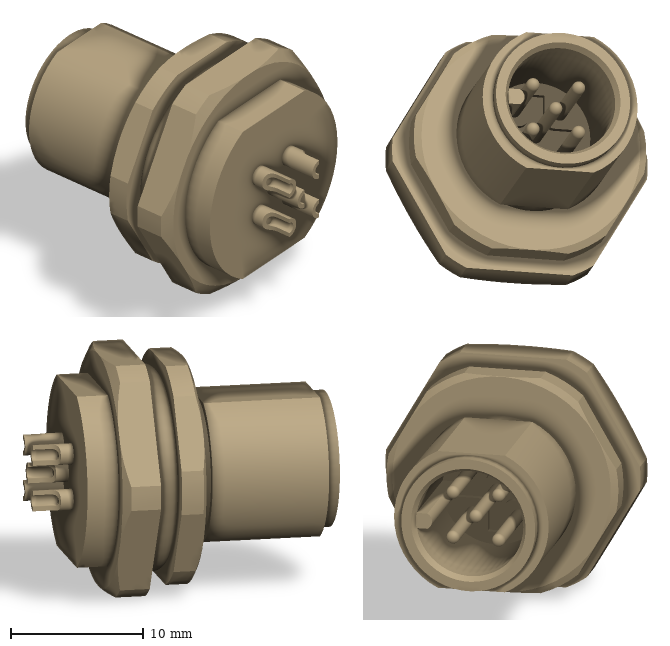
import cadquery as cq
import math


NOSE_END = 1.0
THREAD_END = 10.0
NUT_START = 11.0
NUT_END = 13.0
FLANGE_START = 14.8
FLANGE_END = 17.6
REAR_END = 20.0
CUP_END = 23.0

NOSE_DIAMETER = 10.4
THREAD_DIAMETER = 12.0
THREAD_ACROSS_FLATS = 10.8
RELIEF_DIAMETER = THREAD_ACROSS_FLATS
REAR_DIAMETER = 15.2
REAR_ACROSS_FLATS = 13.3

HEXAGON_SIDES = 6
CHAMFER_ANGLE = 30.0
NUT_ACROSS_FLATS = 17.0
NUT_CORNER_DIAMETER = 18.0
NUT_CHAMFER_DEPTH = 0.3
FLANGE_ACROSS_FLATS = 18.0
FLANGE_CORNER_DIAMETER = 19.8
FLANGE_CHAMFER_DEPTH = 0.5

RING_SECTION_DIAMETER = 2.0
RING_OUTER_DIAMETER = 15.8

CAVITY_DIAMETER = 8.3
CAVITY_MOUTH_DIAMETER = 8.9
CAVITY_MOUTH_DEPTH = 0.5
CAVITY_FLOOR = 9.0

KEY_WIDTH = 1.2
KEY_START = 0.35
KEY_TIP_Y = 2.9
KEY_CROWN_HEIGHT = 0.37

CROSS_ARM_LENGTH = 3.18
CROSS_ARM_WIDTH = KEY_WIDTH
CROSS_INNER_RADIUS = 0.8
CROSS_TIP_RADIUS = 0.1
CROSS_DEPTH = 0.5
CROSS_BOTTOM = CAVITY_FLOOR + CROSS_DEPTH

PIN_CIRCLE_DIAMETER = 5.0
PIN_DIAMETER = 1.0
PIN_TIP = 2.0
PIN_ROOT = CROSS_BOTTOM + PIN_DIAMETER / 2
CUP_DIAMETER = 1.6
CUP_BORE_DIAMETER = 0.9
CUP_BORE_DEPTH = 2.0
CUP_CUT_START = REAR_END + 1.0
CUP_CUT_RADIUS = CUP_DIAMETER / 2


def cylinder(start, end, diameter, y=0.0, z=0.0):
    """Cylinder along X between two stations."""
    return cq.Workplane("YZ", origin=(start, y, z)).circle(diameter / 2).extrude(end - start)


def slab(start, end, width, height):
    """Rectangular bar along X, centred on the axis."""
    return cq.Workplane("YZ", origin=(start, 0, 0)).rect(width, height).extrude(end - start)


def flatted_cylinder(start, end, diameter, across_flats):
    """Cylinder along X with two flats facing +Z and -Z."""
    return cylinder(start, end, diameter).intersect(slab(start, end, diameter, across_flats))


def hexagon(start, end, across_flats, corner_diameter, chamfer_depth, chamfer_at_start):
    """Hexagon with flats facing +Z and -Z, turned corners and one chamfered face."""
    corner_to_corner = across_flats / math.cos(math.pi / HEXAGON_SIDES)
    outline = cq.Workplane("YZ", origin=(start, 0, 0)).polygon(HEXAGON_SIDES, corner_to_corner)
    prism = outline.extrude(end - start)
    radius = corner_diameter / 2
    chamfered_radius = radius - chamfer_depth / math.tan(math.radians(CHAMFER_ANGLE))
    start_radius, shoulder, end_radius = radius, end - chamfer_depth, chamfered_radius
    if chamfer_at_start:
        start_radius, shoulder, end_radius = chamfered_radius, start + chamfer_depth, radius
    blank = (
        cq.Workplane("XY")
        .moveTo(start, 0)
        .lineTo(start, start_radius)
        .lineTo(shoulder, radius)
        .lineTo(end, end_radius)
        .lineTo(end, 0)
        .close()
        .revolve(360, (0, 0, 0), (1, 0, 0))
    )
    return prism.intersect(blank)


def sealing_ring():
    """Round-section ring trimmed by the nut and flange faces, with the shell core inside it."""
    section_radius = RING_SECTION_DIAMETER / 2
    centre_radius = RING_OUTER_DIAMETER / 2 - section_radius
    centre_x = (NUT_END + FLANGE_START) / 2
    ring = (
        cq.Workplane("XY")
        .center(centre_x, centre_radius)
        .circle(section_radius)
        .revolve(360, (0, -centre_radius, 0), (1, -centre_radius, 0))
    )
    gap = cylinder(NUT_END, FLANGE_START, RING_OUTER_DIAMETER + RING_SECTION_DIAMETER)
    core = cylinder(NUT_END, FLANGE_START, 2 * centre_radius)
    return core.union(ring.intersect(gap))


def cavity():
    """Space for the mating plug, widened to a cone at the mouth."""
    return (
        cq.Workplane("XY")
        .lineTo(0, CAVITY_MOUTH_DIAMETER / 2)
        .lineTo(CAVITY_MOUTH_DEPTH, CAVITY_DIAMETER / 2)
        .lineTo(CAVITY_FLOOR, CAVITY_DIAMETER / 2)
        .lineTo(CAVITY_FLOOR, 0)
        .close()
        .revolve(360, (0, 0, 0), (1, 0, 0))
    )


def floor_cross():
    """Cross-shaped recess with rounded inner corners and arm tips."""
    level_arm = slab(CAVITY_FLOOR, CROSS_BOTTOM, 2 * CROSS_ARM_LENGTH, CROSS_ARM_WIDTH)
    upright_arm = slab(CAVITY_FLOOR, CROSS_BOTTOM, CROSS_ARM_WIDTH, 2 * CROSS_ARM_LENGTH)
    centre_box = cq.selectors.BoxSelector(
        (CAVITY_FLOOR, -CROSS_ARM_WIDTH, -CROSS_ARM_WIDTH),
        (CROSS_BOTTOM, CROSS_ARM_WIDTH, CROSS_ARM_WIDTH),
    )
    cross = level_arm.edges("|X").fillet(CROSS_TIP_RADIUS)
    cross = cross.union(upright_arm.edges("|X").fillet(CROSS_TIP_RADIUS))
    return cross.edges("|X").edges(centre_box).fillet(CROSS_INNER_RADIUS)


def coding_key():
    """Bar along the cavity wall with a crowned inner side, running down to the floor recess.

    Its outer side keeps the cavity radius, so its front end stands clear of the conical mouth.
    """
    root_y = CAVITY_DIAMETER / 2
    shoulder_y = KEY_TIP_Y + KEY_CROWN_HEIGHT
    half_width = KEY_WIDTH / 2
    bar = (
        cq.Workplane("YZ", origin=(KEY_START, 0, 0))
        .moveTo(root_y, half_width)
        .lineTo(shoulder_y, half_width)
        .threePointArc((KEY_TIP_Y, 0), (shoulder_y, -half_width))
        .lineTo(root_y, -half_width)
        .close()
        .extrude(CROSS_BOTTOM - KEY_START)
    )
    return bar.intersect(cylinder(KEY_START, CROSS_BOTTOM, CAVITY_DIAMETER))


def contact_pin(y, z):
    """Front pin with a hemispherical tip, anchored below the floor recess."""
    pin_radius = PIN_DIAMETER / 2
    shank = cylinder(PIN_TIP + pin_radius, PIN_ROOT, PIN_DIAMETER, y, z)
    tip = cq.Workplane("XY", origin=(PIN_TIP + pin_radius, y, z)).sphere(pin_radius)
    return shank.union(tip)


def solder_cup(y, z, open_side):
    """Rear cup, bored from the end and cut open on the +Y or -Y side."""
    cup = cylinder(REAR_END, CUP_END, CUP_DIAMETER, y, z)
    bore = cylinder(CUP_END - CUP_BORE_DEPTH, CUP_END, CUP_BORE_DIAMETER, y, z)
    outer_y = open_side * CUP_DIAMETER / 2
    arc_middle = CUP_CUT_RADIUS * (1 - math.cos(math.pi / 4))
    opening = (
        cq.Workplane("XY", origin=(CUP_CUT_START, y, z))
        .moveTo(0, outer_y)
        .threePointArc((arc_middle, open_side * arc_middle), (CUP_CUT_RADIUS, 0))
        .lineTo(CUP_END - CUP_CUT_START, 0)
        .lineTo(CUP_END - CUP_CUT_START, outer_y)
        .close()
        .extrude(CUP_DIAMETER, both=True)
    )
    return cup.cut(bore).cut(opening)


def contacts():
    """Y, Z and cup opening direction along Y, for the centre contact and the four around it."""
    offset = PIN_CIRCLE_DIAMETER / 2 * math.cos(math.pi / 4)
    places = [(0, 0, 1)]
    for side in (1, -1):
        for z in (offset, -offset):
            places.append((side * offset, z, side))
    return places


body = cylinder(0, NUT_START, NOSE_DIAMETER)
body = body.union(flatted_cylinder(NOSE_END, THREAD_END, THREAD_DIAMETER, THREAD_ACROSS_FLATS))
body = body.union(cylinder(THREAD_END, NUT_START, RELIEF_DIAMETER))
nut = hexagon(
    NUT_START,
    NUT_END,
    NUT_ACROSS_FLATS,
    NUT_CORNER_DIAMETER,
    NUT_CHAMFER_DEPTH,
    chamfer_at_start=True,
)
flange = hexagon(
    FLANGE_START,
    FLANGE_END,
    FLANGE_ACROSS_FLATS,
    FLANGE_CORNER_DIAMETER,
    FLANGE_CHAMFER_DEPTH,
    chamfer_at_start=False,
)
body = body.union(nut).union(sealing_ring()).union(flange)
body = body.union(flatted_cylinder(FLANGE_END, REAR_END, REAR_DIAMETER, REAR_ACROSS_FLATS))

body = body.cut(cavity()).cut(floor_cross()).union(coding_key())
for pin_y, pin_z, cup_side in contacts():
    body = body.union(contact_pin(pin_y, pin_z)).union(solder_cup(pin_y, pin_z, cup_side))

result = body.solids()